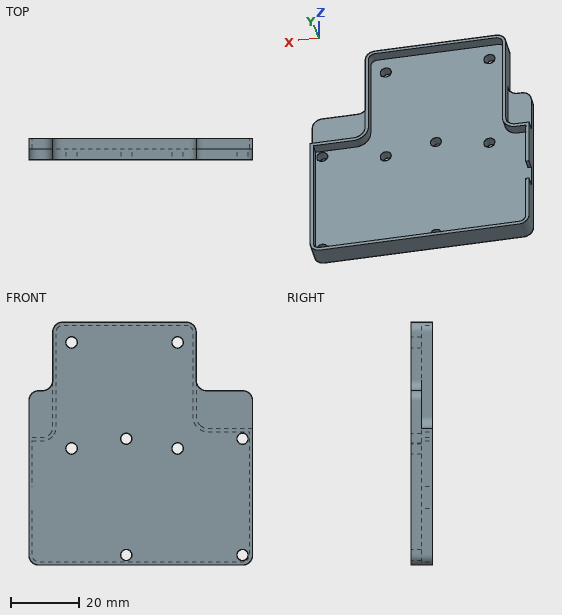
import cadquery as cq

width = 65.5
thickness = 6.3
height = 71.1
plate_thickness = 3.1
rim_depth = thickness - plate_thickness
rim_wall = 1.0

tower_left = 7.0
tower_width = 42.0
tower_right = tower_left + tower_width
plate_shoulder = 51.05
corner_radius = 3.0

motor_hole_diameter = 3.3
motor_hole_pitch = 31.0
motor_holes_left = 12.5
motor_holes_bottom = 34.1
board_hole_diameter = 3.2
board_hole_pitch = 34.0
board_hole_margin = 3.0
board_holes_left = width - board_hole_margin - board_hole_pitch

rim_left_shoulder = 37.3
rim_right_shoulder = board_hole_pitch + 2 * board_hole_margin
rim_right_radius = 3.5

notch_bottom = 16.6
notch_height = 6.4


def stepped_layer(left_shoulder, right_shoulder, start_y, depth):
    """Wide body with a narrower tower, sharp cornered, extruded toward +Y."""
    outline = [
        (0, 0),
        (width, 0),
        (width, right_shoulder),
        (tower_right, right_shoulder),
        (tower_right, height),
        (tower_left, height),
        (tower_left, left_shoulder),
        (0, left_shoulder),
    ]
    plane = cq.Workplane("XZ", origin=(0, start_y, 0))
    return plane.polyline(outline).close().extrude(-depth)


def round_corners(layer, corners, radius):
    """Round the edges along Y that pass through the given (x, z) corners."""
    middle_y = layer.val().Center().y
    for x, z in corners:
        corner_edge = cq.selectors.NearestToPointSelector((x, middle_y, z))
        layer = layer.edges("|Y").edges(corner_edge).fillet(radius)
    return layer


def square_of_holes(left, bottom, pitch, diameter):
    """Four cylinders through the full thickness at the corners of a square."""
    centers = [(left + i * pitch, bottom + j * pitch) for i in (0, 1) for j in (0, 1)]
    return cq.Workplane("XZ").pushPoints(centers).circle(diameter / 2).extrude(-thickness)


outer_corners = [(0, 0), (width, 0), (tower_left, height), (tower_right, height)]

plate_shoulder_corners = [(x, plate_shoulder) for x in (0, tower_left, tower_right, width)]
plate = stepped_layer(plate_shoulder, plate_shoulder, 0, plate_thickness)
plate = round_corners(plate, outer_corners + plate_shoulder_corners, corner_radius)

rim = stepped_layer(rim_left_shoulder, rim_right_shoulder, plate_thickness, rim_depth)
rim = round_corners(rim, outer_corners + [(tower_left, rim_left_shoulder)], corner_radius)
rim = round_corners(rim, [(tower_right, rim_right_shoulder)], rim_right_radius)
rim = rim.faces("|Y").shell(-rim_wall)

notch = cq.Workplane("XY").box(rim_wall, rim_depth, notch_height, centered=False)
rim = rim.cut(notch.translate((0, plate_thickness, notch_bottom)))

motor_holes = square_of_holes(
    motor_holes_left, motor_holes_bottom, motor_hole_pitch, motor_hole_diameter
)
board_holes = square_of_holes(
    board_holes_left, board_hole_margin, board_hole_pitch, board_hole_diameter
)

result = plate.union(rim).cut(motor_holes).cut(board_holes)